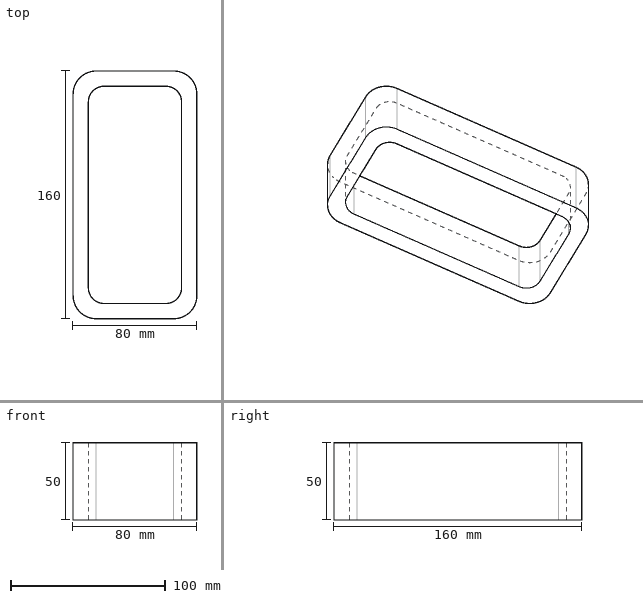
import cadquery as cq

width = 80.0
length = 160.0
height = 50.0

wall = 10.0
outer_corner_radius = 15.0
inner_corner_radius = 10.0


def rounded_block(size_x, size_y, corner_radius):
    """Upright block standing on Z = 0 with rounded vertical edges."""
    block = cq.Workplane("XY").box(size_x, size_y, height, centered=(True, True, False))
    return block.edges("|Z").fillet(corner_radius)


outer_body = rounded_block(width, length, outer_corner_radius)
through_opening = rounded_block(width - 2 * wall, length - 2 * wall, inner_corner_radius)

result = outer_body.cut(through_opening)